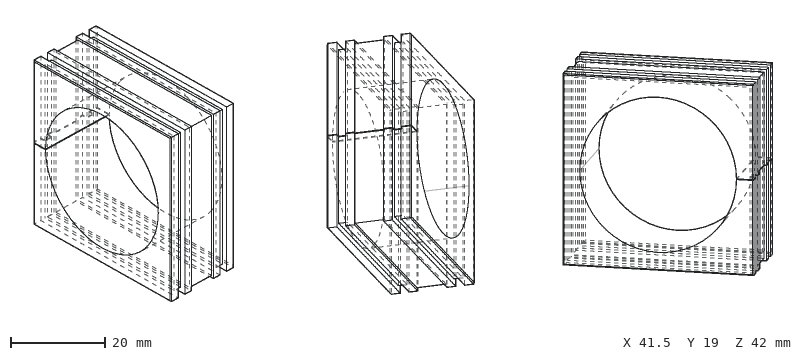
import cadquery as cq

width = 41.5
depth = 19.0
height = 42.0
bore_diameter = 34.0
edge_chamfer = 0.25

waist_width = 6.55
waist_depth = 0.55
collar_width = 1.97
groove_width = 1.97
groove_depth = 1.25
groove_offset = waist_width / 2 + collar_width + groove_width / 2

slit_width = 0.15


def perimeter_channel(center_y, channel_width, channel_depth):
    """Rectangular frame that cuts a channel around all four outer sides."""
    outer = cq.Workplane("XY").box(width, channel_width, height)
    core = cq.Workplane("XY").box(
        width - 2 * channel_depth, channel_width, height - 2 * channel_depth
    )
    return outer.cut(core).translate((0, center_y, 0))


body = cq.Workplane("XY").box(width, depth, height)
body = body.faces("<Y or >Y").edges().chamfer(edge_chamfer)

body = body.cut(perimeter_channel(0, waist_width, waist_depth))
for side in (-1, 1):
    body = body.cut(perimeter_channel(side * groove_offset, groove_width, groove_depth))

bore = cq.Workplane("XZ").circle(bore_diameter / 2).extrude(depth / 2, both=True)
body = body.cut(bore)

slit = cq.Workplane("XY").box(width / 2, depth, slit_width).translate((-width / 4, 0, 0))
result = body.cut(slit)